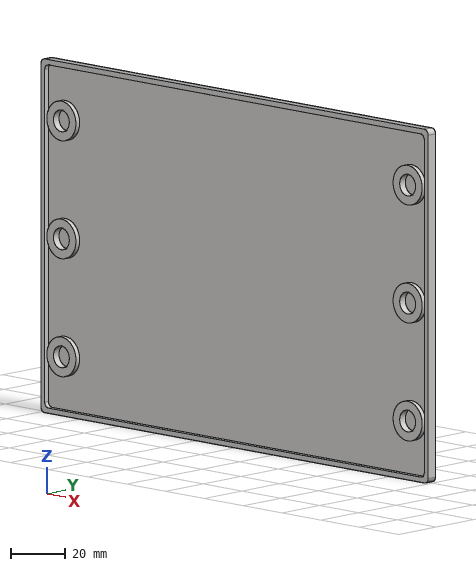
import cadquery as cq

width = 199.6
thickness = 4.0
height = 133.5
corner_radius = 2.0

rim_width = 2.0
tray_depth = 2.0
tray_corner_radius = 2.0

boss_diameter = 15.0
boss_height = 2.0
hole_diameter = 8.2
hole_depth = 3.0
boss_column_x = 89.2
boss_row_pitch = 44.5

front_y = -thickness / 2
floor_y = front_y + tray_depth
boss_face_y = floor_y - boss_height
boss_points = [
    (x, row * boss_row_pitch)
    for x in (-boss_column_x, boss_column_x)
    for row in (-1, 0, 1)
]


def plane_at(y):
    """Sketch plane facing +Y, with local x along -X and local y along Z."""
    return cq.Workplane(cq.Plane(origin=(0, y, 0), xDir=(-1, 0, 0), normal=(0, 1, 0)))


def rounded_slab(size_x, size_z, start_y, depth, radius):
    """Rectangular slab growing towards +Y, with rounded corners."""
    return plane_at(start_y).rect(size_x, size_z).extrude(depth).edges("|Y").fillet(radius)


def discs(diameter, start_y, depth):
    """Cylinders at every boss position, growing towards +Y."""
    return plane_at(start_y).pushPoints(boss_points).circle(diameter / 2).extrude(depth)


plate = rounded_slab(width, height, front_y, thickness, corner_radius)
tray = rounded_slab(
    width - 2 * rim_width, height - 2 * rim_width, front_y, tray_depth, tray_corner_radius
)
bosses = discs(boss_diameter, boss_face_y, boss_height)
holes = discs(hole_diameter, boss_face_y, hole_depth)

result = plate.cut(tray).union(bosses).cut(holes)